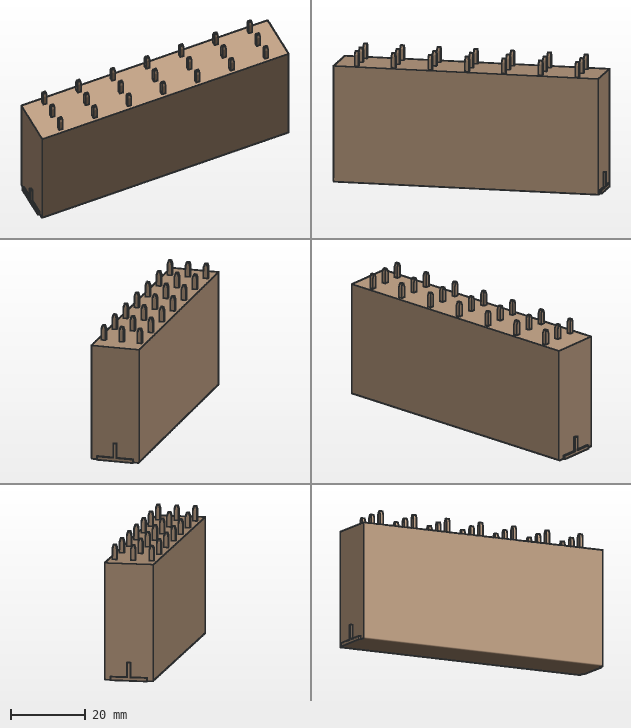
import cadquery as cq

overall_length = 74.15
overall_height = 36.0

pin_rows = 7
pin_columns = 3
row_pitch = 10.15
column_pitch = row_pitch / 2
pin_width = 1.2
pin_thickness = 1.05
pin_tip_width = 0.6
pin_tip_thickness = 0.8
pin_height = 4.0
pin_tip_height = 1.0

key_projection = 0.5
key_height = 5.0
key_bar_width = 10.0
key_bar_height = 1.0
key_stem_width = 1.0

body_width = 13.4
body_length = overall_length - 2 * key_projection
body_height = overall_height - pin_height
bottom_fillet = 0.4


def base_block(width, length, height):
    """Block centred on the Z axis and standing on the base plane."""
    return cq.Workplane("XY").box(width, length, height, centered=(True, True, False))


def make_body():
    """Plain block with its two long bottom edges rounded."""
    block = base_block(body_width, body_length, body_height)
    return block.edges("|Y and <Z").fillet(bottom_fillet)


def make_keys():
    """Upside-down tee running through the body and standing proud of both ends."""
    bar = base_block(key_bar_width, overall_length, key_bar_height)
    stem = base_block(key_stem_width, overall_length, key_height)
    return bar.union(stem)


def make_pin():
    """Rectangular pin standing on the base plane, with a tapered tip."""
    shank_height = pin_height - pin_tip_height
    shank = base_block(pin_width, pin_thickness, shank_height)
    tip = (
        cq.Workplane("XY")
        .workplane(offset=shank_height)
        .rect(pin_width, pin_thickness)
        .workplane(offset=pin_tip_height)
        .rect(pin_tip_width, pin_tip_thickness)
        .loft()
    )
    return shank.union(tip)


def make_pins():
    """Grid of pins on the top face of the body."""
    return (
        cq.Workplane("XY")
        .workplane(offset=body_height)
        .rarray(column_pitch, row_pitch, pin_columns, pin_rows)
        .eachpoint(make_pin().val(), useLocalCoordinates=True)
    )


result = make_body().union(make_keys()).union(make_pins())